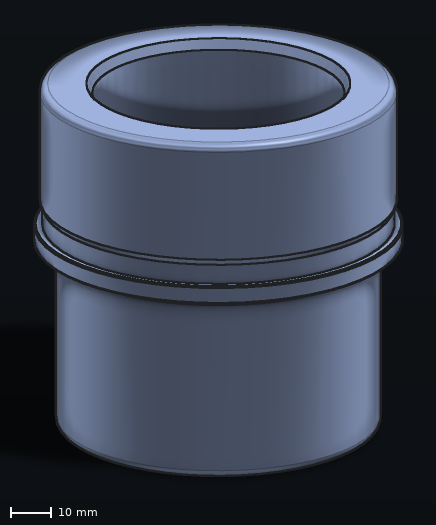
import cadquery as cq
import math

height = 90.0
head_bottom = 59.5
flange_top = 52.9
flange_thickness = 4.7
flange_bottom = flange_top - flange_thickness

flange_radius = 46.0
head_radius = 44.6
groove_radius = 44.0
body_radius = 40.6
bore_radius = 31.45

end_rounding = 2.0
flange_chamfer = 0.4
head_taper_height = 1.6
shoulder_height = 2.2
shoulder_inset = 1.0
mouth_width = 1.5
mouth_angle = 30
mouth_depth = mouth_width / math.tan(math.radians(mouth_angle))


def cylinder(radius, bottom, top):
    """Upright cylinder on the Z axis between two heights."""
    return cq.Workplane("XY").workplane(offset=bottom).circle(radius).extrude(top - bottom)


def cone(bottom_radius, top_radius, bottom, cone_height):
    """Upright truncated cone on the Z axis."""
    return cq.Workplane(
        cq.Solid.makeCone(bottom_radius, top_radius, cone_height, pnt=cq.Vector(0, 0, bottom))
    )


shoulder_bottom = flange_bottom - shoulder_height
body = cylinder(body_radius, 0, shoulder_bottom).faces("<Z").edges().fillet(end_rounding)
shoulder = cone(body_radius, body_radius - shoulder_inset, shoulder_bottom, shoulder_height)

flange = cylinder(flange_radius, flange_bottom, flange_top).edges().chamfer(flange_chamfer)

groove_top = head_bottom - head_taper_height
groove = cylinder(groove_radius, flange_top, groove_top)
head_taper = cone(groove_radius, head_radius, groove_top, head_taper_height)
head = cylinder(head_radius, head_bottom, height).faces(">Z").edges().fillet(end_rounding)

bore = cylinder(bore_radius, 0, height)
mouth = cone(bore_radius, bore_radius + mouth_width, height - mouth_depth, mouth_depth)

result = body
for section in (shoulder, flange, groove, head_taper, head):
    result = result.union(section)
result = result.cut(bore).cut(mouth)